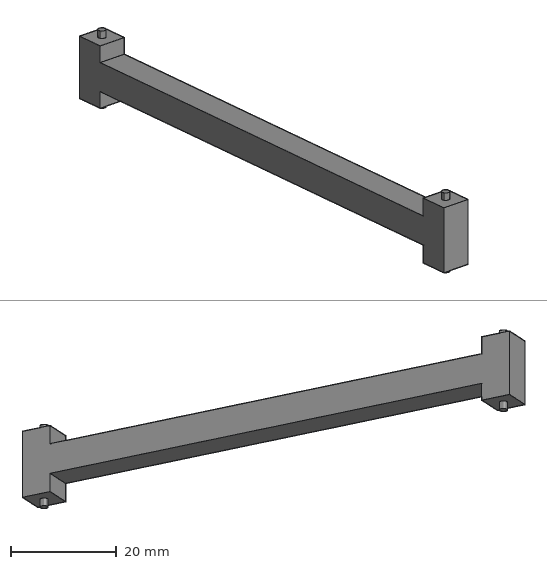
import cadquery as cq

length = 106.0
bar_width = 6.0
right_pin_span = 16.5

left_block_height = 12.9
right_block_height = 13.5
pin_diameter = 1.6
pin_length = (right_pin_span - right_block_height) / 2

block_center_x = (length - bar_width) / 2


def end_block(center_x, height):
    """Square block with a round pin standing out of its top and bottom."""
    block = cq.Workplane("XY").box(bar_width, bar_width, height)
    pin_reach = height / 2 + pin_length
    pins = cq.Workplane("XY").circle(pin_diameter / 2).extrude(pin_reach, both=True)
    return block.union(pins).translate((center_x, 0, 0))


bar = cq.Workplane("XY").box(2 * block_center_x, bar_width, bar_width)

left_end = end_block(-block_center_x, left_block_height)
right_end = end_block(block_center_x, right_block_height)
result = bar.union(left_end).union(right_end)